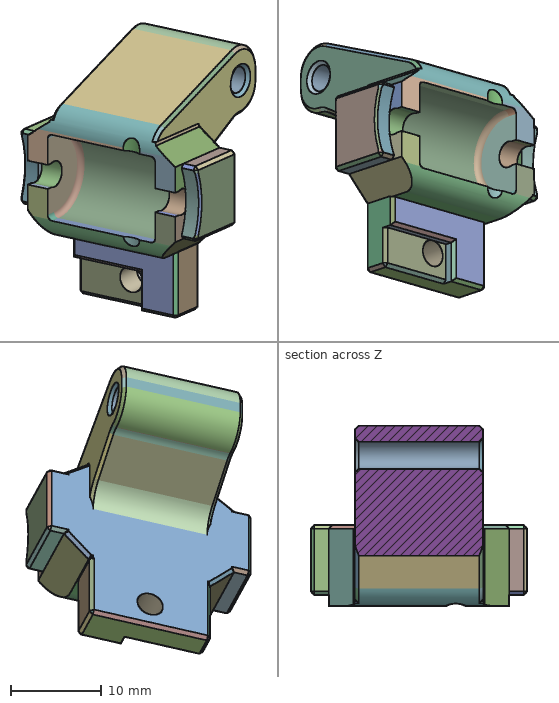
import cadquery as cq
import math

EDGE_CHAMFER = 0.4

BODY_DEPTH = 9.0
BODY_TOP = 6.64
BODY_BOTTOM = -7.31
BOTTOM_ROUND = 2.4
LUG_HALF_WIDTH = 10.0
LUG_HALF_HEIGHT = 4.38
LUG_KNEE_X = 7.28
LUG_KNEE_Z = 6.33

ARM_WIDTH = 14.2
ARM_TOP = 13.48
ARM_BACK = 20.02
ARM_TIP_BOTTOM = 5.53
ARM_TOP_SLOPE = math.radians(20.6)
TIP_ROUND = 3.3
FRONT_TOP_ROUND = 3.0
UNDERSIDE_BEND_Y = 16.13
UNDERSIDE_SLOPE = math.radians(28)
UNDERSIDE_BEND_ROUND = 2.1
WALL_ROUND = 3.2
ARM_HOLE_Z = (ARM_TOP + ARM_TIP_BOTTOM) / 2
ARM_HOLE_Y = ARM_BACK - TIP_ROUND

HOLE_DIAMETER = 3.0
PIN_Y = 1.25
PIN_MOUTH = 2.8

CAVITY_RADIUS = 5.02
CAVITY_LENGTH = 14.58
CAVITY_END_ROUND = 0.6

POD_HALF_SPAN = 12.0
POD_FRONT = 1.23
POD_SADDLE_RADIUS = 10.0
POD_SADDLE_DEPTH = 2.05
SADDLE_RIM_CHAMFER = 0.25

PLATE_THICKNESS = 4.5
PLATE_CENTER_X = -0.1
PLATE_BOTTOM = -15.13
PLATE_HOLE_Z = -12.1
RECESS_DEPTH = 1.23
RECESS_TOP = -10.6
RECESS_RIGHT = 2.0
RECESS_BEVEL_ANGLE = 45

GROOVE_X = 4.08
GROOVE_RADIUS = 2.4
GROOVE_DEPTH = 0.27


def box(x0, x1, y0, y1, z0, z1):
    return cq.Workplane("XY").box(x1 - x0, y1 - y0, z1 - z0, centered=False).translate((x0, y0, z0))


def cylinder_x(radius, length, y, z):
    """Cylinder along X, centred on the mid-plane."""
    return cq.Workplane("YZ").center(y, z).circle(radius).extrude(length / 2, both=True)


def side_profile(width):
    """Body and arm side outline, rounded at its corners, extruded along X."""
    tip_center_z = ARM_TOP - TIP_ROUND
    slope_rise = ARM_HOLE_Y * math.tan(ARM_TOP_SLOPE)
    front_top = tip_center_z + TIP_ROUND / math.cos(ARM_TOP_SLOPE) - slope_rise
    tip_top = front_top + ARM_BACK * math.tan(ARM_TOP_SLOPE)
    wall_top = ARM_TIP_BOTTOM - (UNDERSIDE_BEND_Y - BODY_DEPTH) * math.tan(UNDERSIDE_SLOPE)
    corners = [
        (0, BODY_BOTTOM, BOTTOM_ROUND),
        (0, front_top, FRONT_TOP_ROUND),
        (ARM_BACK, tip_top, TIP_ROUND),
        (ARM_BACK, ARM_TIP_BOTTOM, TIP_ROUND),
        (UNDERSIDE_BEND_Y, ARM_TIP_BOTTOM, UNDERSIDE_BEND_ROUND),
        (BODY_DEPTH, wall_top, WALL_ROUND),
        (BODY_DEPTH, BODY_BOTTOM, 0),
    ]
    outline = [(y, z) for y, z, _ in corners]
    profile = cq.Workplane("YZ").polyline(outline).close().extrude(width / 2, both=True)
    for y, z, radius in corners:
        if radius:
            corner = cq.selectors.NearestToPointSelector((0, y, z))
            profile = profile.edges("|X").edges(corner).fillet(radius)
    return profile


def make_arm():
    arm = side_profile(ARM_WIDTH).faces("<X or >X").chamfer(EDGE_CHAMFER)
    hole = cylinder_x(HOLE_DIAMETER / 2, ARM_WIDTH, ARM_HOLE_Y, ARM_HOLE_Z)
    arm = arm.cut(hole)
    rim = cq.selectors.RadiusNthSelector(0)
    return arm.faces("<X or >X").edges("%CIRCLE").edges(rim).chamfer(EDGE_CHAMFER)


def make_lugs():
    """Block with sloped shoulders whose front follows the rounded side outline."""
    half_arm = ARM_WIDTH / 2
    outline = [
        (half_arm, BODY_TOP),
        (LUG_KNEE_X, LUG_KNEE_Z),
        (LUG_HALF_WIDTH, LUG_HALF_HEIGHT),
        (LUG_HALF_WIDTH, -LUG_HALF_HEIGHT),
        (half_arm, BODY_BOTTOM),
    ]
    outline += [(-x, z) for x, z in reversed(outline)]
    block = cq.Workplane("XZ").polyline(outline).close().extrude(-BODY_DEPTH)
    block = block.faces(">Y").chamfer(EDGE_CHAMFER)
    return block.intersect(side_profile(2 * LUG_HALF_WIDTH))


def make_pods():
    pods = box(-POD_HALF_SPAN, POD_HALF_SPAN, POD_FRONT, BODY_DEPTH, -LUG_HALF_HEIGHT, LUG_HALF_HEIGHT)
    pods = pods.edges().chamfer(EDGE_CHAMFER)
    saddle_y = POD_SADDLE_DEPTH - POD_SADDLE_RADIUS
    pods = pods.cut(cylinder_x(POD_SADDLE_RADIUS, 2 * POD_HALF_SPAN, saddle_y, 0))
    return pods.faces("<X or >X").edges("%CIRCLE").chamfer(SADDLE_RIM_CHAMFER)


def make_plate():
    left = PLATE_CENTER_X - ARM_WIDTH / 2
    right = PLATE_CENTER_X + ARM_WIDTH / 2
    front = BODY_DEPTH - PLATE_THICKNESS
    floor = front + RECESS_DEPTH
    top = BODY_BOTTOM + BOTTOM_ROUND

    back_layer = box(left, right, floor, BODY_DEPTH, PLATE_BOTTOM, top)
    back_layer = back_layer.edges("not >Z").chamfer(EDGE_CHAMFER)

    raised = box(left, right, front, BODY_DEPTH, PLATE_BOTTOM, top).edges("not >Z").chamfer(EDGE_CHAMFER)
    recess = box(left, RECESS_RIGHT, front, BODY_DEPTH, PLATE_BOTTOM, RECESS_TOP)
    raised = raised.cut(recess)
    bevel_left = left - EDGE_CHAMFER
    bevel_right = RECESS_RIGHT + EDGE_CHAMFER
    bevel_bottom = PLATE_BOTTOM - EDGE_CHAMFER
    bevel_top = RECESS_TOP + EDGE_CHAMFER
    bevel = (
        cq.Workplane("XZ", origin=(0, front, 0))
        .moveTo(bevel_left, bevel_bottom)
        .lineTo(bevel_right, bevel_bottom)
        .lineTo(bevel_right, bevel_top)
        .lineTo(bevel_left, bevel_top)
        .close()
        .extrude(-EDGE_CHAMFER, taper=RECESS_BEVEL_ANGLE)
    )
    plate = raised.cut(bevel).union(back_layer)
    hole = cq.Workplane("XZ").center(0, PLATE_HOLE_Z).circle(HOLE_DIAMETER / 2).extrude(-BODY_DEPTH)
    return plate.cut(hole)


def make_cavity():
    """U-shaped trough along X, open to the front, with rounded ends."""
    trough = cylinder_x(CAVITY_RADIUS, CAVITY_LENGTH, PIN_Y, 0)
    half = CAVITY_LENGTH / 2
    trough = trough.union(box(-half, half, -CAVITY_RADIUS, PIN_Y, -CAVITY_RADIUS, CAVITY_RADIUS))
    return trough.faces("<X or >X").edges().fillet(CAVITY_END_ROUND)


def make_pin_seat():
    seat = cylinder_x(HOLE_DIAMETER / 2, 2 * LUG_HALF_WIDTH, PIN_Y, 0)
    half_mouth = PIN_MOUTH / 2
    return seat.union(box(-LUG_HALF_WIDTH, LUG_HALF_WIDTH, 0, PIN_Y, -half_mouth, half_mouth))


def make_groove():
    groove = cq.Workplane("XY").circle(GROOVE_RADIUS).extrude(BODY_TOP - BODY_BOTTOM)
    return groove.translate((GROOVE_X, GROOVE_DEPTH - GROOVE_RADIUS, BODY_BOTTOM))


result = make_lugs().union(make_arm()).union(make_pods()).union(make_plate())
result = result.cut(make_cavity()).cut(make_pin_seat()).cut(make_groove())